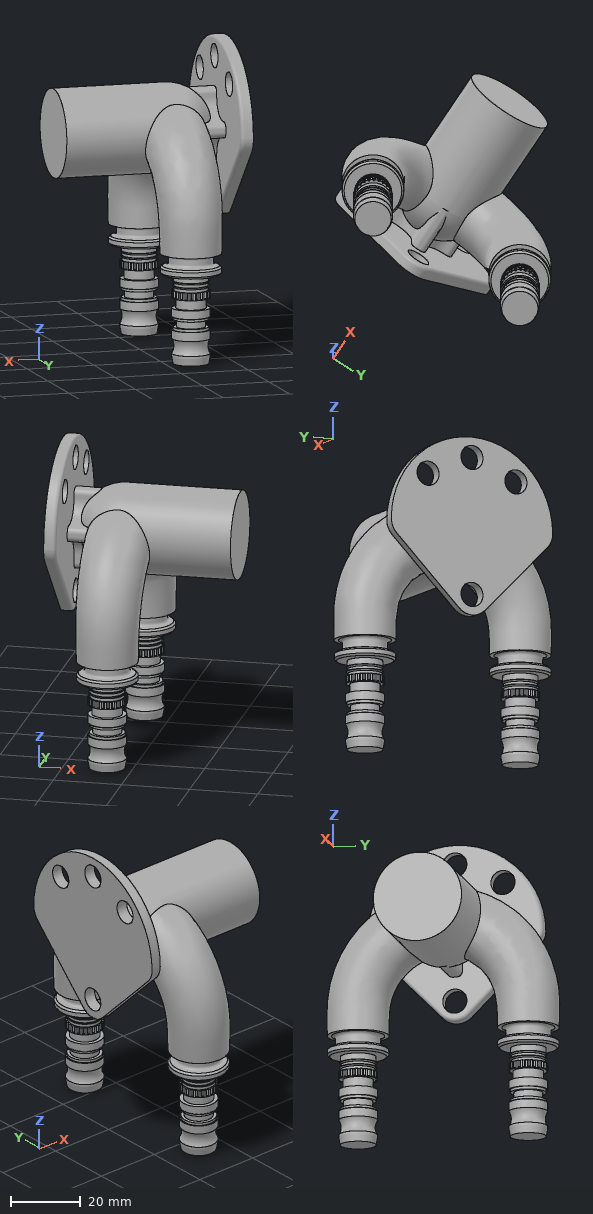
import cadquery as cq
import math

PLATE_THICKNESS = 3.7
PLATE_EDGE_ROUND = 1.1
PLATE_RADIUS = 26.0
HOLE_CIRCLE_RADIUS = 20.0
HOLE_DIAMETER = 7.0
HOLE_ANGLES = (45, 90, 135, 270)
CORNER_RADIUS = PLATE_RADIUS - HOLE_CIRCLE_RADIUS

TUBE_RADIUS = 13.0
TUBE_START_X = 18.0
TUBE_END_X = 52.0

RIB_HALF_WIDTH = 2.3
RIB_REACH = 11.2
BOTTOM_RIB_REACH = 13.0
RIB_TIP_ROUND = 1.8
RIB_VALLEY_RADIUS = 6.0

LEG_X = 18.5
LEG_OFFSET = 25.0
BEND_DROP = 26.0
LEG_RADIUS = 8.9
BEND_ROOT_RADIUS = 10.0
BEND_POINT_SPACING = 15
LEG_END_Z = -32.4
BOTTOM_Z = -64.41

NECK_RADIUS = 13.0 / 2
NECK_FILLET = 1.1
FLANGE_RADIUS = 17.7 / 2
FLANGE_CHAMFER = 0.6
SHANK_RADIUS = 10.2 / 2
RIDGE_RADIUS = 10.8 / 2
WAIST_RADIUS = 9.9 / 2
BARB_RADIUS = 11.2 / 2
STEP_RADIUS = 10.4 / 2
UPPER_GROOVE_RADIUS = 8.8 / 2
LOWER_GROOVE_RADIUS = 8.4 / 2

FLANGE_TOP = 3.5
FLANGE_BOTTOM = 6.05
RIDGE_DEPTHS = (7.9, 9.25)
RIDGE_FALL = 0.5
KNURL_TOP = 10.65
KNURL_BOTTOM = 12.85
KNURL_RIM = 0.25
UPPER_BARB_TOP = 15.8
UPPER_BARB_BOTTOM = 18.35
LOWER_BARB_TOP = 22.1
LOWER_BARB_BOTTOM = 24.7
STEP_HEIGHT = 0.8
NOSE_TOP = 29.05
NOSE_TAPER_TOP = 29.85
SPIGOT_LENGTH = LEG_END_Z - BOTTOM_Z

NOTCH_COUNT = 24
NOTCH_DEPTH = 0.45


def make_plate():
    tangent = CORNER_RADIUS * math.sqrt(0.5)
    side_middle_y = HOLE_CIRCLE_RADIUS + CORNER_RADIUS * math.cos(math.pi / 8)
    side_middle_z = -CORNER_RADIUS * math.sin(math.pi / 8)
    plate = (
        cq.Workplane("YZ")
        .moveTo(PLATE_RADIUS, 0)
        .threePointArc((0, PLATE_RADIUS), (-PLATE_RADIUS, 0))
        .threePointArc((-side_middle_y, side_middle_z),
                       (-HOLE_CIRCLE_RADIUS - tangent, -tangent))
        .lineTo(-tangent, -HOLE_CIRCLE_RADIUS - tangent)
        .threePointArc((0, -PLATE_RADIUS), (tangent, -HOLE_CIRCLE_RADIUS - tangent))
        .lineTo(HOLE_CIRCLE_RADIUS + tangent, -tangent)
        .threePointArc((side_middle_y, side_middle_z), (PLATE_RADIUS, 0))
        .close()
        .extrude(PLATE_THICKNESS)
        .faces(">X").edges().fillet(PLATE_EDGE_ROUND)
    )
    holes = cq.Workplane("YZ")
    for degrees in HOLE_ANGLES:
        angle = math.radians(degrees)
        holes = holes.moveTo(HOLE_CIRCLE_RADIUS * math.cos(angle), HOLE_CIRCLE_RADIUS * math.sin(angle))
        holes = holes.circle(HOLE_DIAMETER / 2)
    holes = holes.extrude(PLATE_THICKNESS)
    return plate.cut(holes)


def make_ribs():
    """Cross-shaped column with rounded rib tips and wide concave valleys between the ribs."""
    width = 2 * RIB_HALF_WIDTH
    upright_height = RIB_REACH + BOTTOM_RIB_REACH
    upright = (
        cq.Workplane("YZ").center(0, (RIB_REACH - BOTTOM_RIB_REACH) / 2)
        .rect(width, upright_height).extrude(TUBE_START_X)
        .edges("|X").fillet(RIB_TIP_ROUND)
    )
    crossbar = (
        cq.Workplane("YZ").rect(2 * RIB_REACH, width).extrude(TUBE_START_X)
        .edges("|X").fillet(RIB_TIP_ROUND)
    )
    valley_centre = RIB_HALF_WIDTH + RIB_VALLEY_RADIUS
    valley_centres = [(y * valley_centre, z * valley_centre) for y in (-1, 1) for z in (-1, 1)]
    core = cq.Workplane("YZ").rect(2 * valley_centre, 2 * valley_centre).extrude(TUBE_START_X)
    valleys = cq.Workplane("YZ").pushPoints(valley_centres).circle(RIB_VALLEY_RADIUS).extrude(TUBE_START_X)
    return upright.union(crossbar).union(core.cut(valleys))


def make_tube():
    """Round bar along X with a hemispherical end."""
    diagonal = TUBE_RADIUS * math.sqrt(0.5)
    return (
        cq.Workplane("XZ")
        .moveTo(TUBE_START_X - TUBE_RADIUS, 0)
        .threePointArc((TUBE_START_X - diagonal, diagonal), (TUBE_START_X, TUBE_RADIUS))
        .lineTo(TUBE_END_X, TUBE_RADIUS)
        .lineTo(TUBE_END_X, 0)
        .close()
        .revolve(360, (0, 0, 0), (1, 0, 0))
    )


def make_elbow(side):
    """Tapering leg and bend on one side of the tube; side is +1 for +Y and -1 for -Y."""
    angles = [math.radians(degrees) for degrees in range(0, 91, BEND_POINT_SPACING)]
    bend_points = [
        cq.Vector(LEG_X, side * LEG_OFFSET * math.cos(angle), BEND_DROP * (math.sin(angle) - 1))
        for angle in angles
    ]
    leg_end = cq.Vector(LEG_X, side * LEG_OFFSET, LEG_END_Z)
    leg_middle = (leg_end + bend_points[0]) * 0.5
    root = bend_points[-1]
    upward = cq.Vector(0, 0, 1)
    inward = cq.Vector(0, -side, 0)
    path = cq.Edge.makeSpline([leg_end, leg_middle, *bend_points], tangents=[upward, inward])
    sections = [
        cq.Workplane(cq.Plane(leg_end, (1, 0, 0), upward)).circle(LEG_RADIUS).wire().val(),
        cq.Workplane(cq.Plane(root, (1, 0, 0), inward)).circle(BEND_ROOT_RADIUS).wire().val(),
    ]
    return cq.Workplane(cq.Solid.sweep_multi(sections, path))


def make_housing():
    housing = make_tube().union(make_ribs()).union(make_plate())
    for side in (-1, 1):
        housing = housing.union(make_elbow(side))
    return housing


def make_spigot(side):
    """Barbed hose spigot, turned about the leg axis and hanging from the leg end."""
    fillet_middle = NECK_FILLET * (1 - math.sqrt(0.5))
    lower_fillet_top = FLANGE_TOP - NECK_FILLET
    profile = (
        cq.Workplane("XZ")
        .moveTo(0, 0)
        .lineTo(NECK_RADIUS + NECK_FILLET, 0)
        .threePointArc((NECK_RADIUS + fillet_middle, -fillet_middle), (NECK_RADIUS, -NECK_FILLET))
        .lineTo(NECK_RADIUS, -lower_fillet_top)
        .threePointArc((NECK_RADIUS + fillet_middle, fillet_middle - FLANGE_TOP),
                       (NECK_RADIUS + NECK_FILLET, -FLANGE_TOP))
        .lineTo(FLANGE_RADIUS - FLANGE_CHAMFER, -FLANGE_TOP)
        .lineTo(FLANGE_RADIUS, -FLANGE_TOP - FLANGE_CHAMFER)
        .lineTo(FLANGE_RADIUS, FLANGE_CHAMFER - FLANGE_BOTTOM)
        .lineTo(FLANGE_RADIUS - FLANGE_CHAMFER, -FLANGE_BOTTOM)
        .lineTo(SHANK_RADIUS, -FLANGE_BOTTOM)
    )
    root_radius = SHANK_RADIUS
    for depth in RIDGE_DEPTHS:
        profile = (
            profile
            .lineTo(root_radius, -depth)
            .lineTo(RIDGE_RADIUS, -depth)
            .lineTo(WAIST_RADIUS, -depth - RIDGE_FALL)
        )
        root_radius = WAIST_RADIUS
    profile = (
        profile
        .lineTo(WAIST_RADIUS, -KNURL_TOP)
        .lineTo(BARB_RADIUS, -KNURL_TOP)
        .lineTo(BARB_RADIUS, -KNURL_BOTTOM)
        .lineTo(UPPER_GROOVE_RADIUS, -KNURL_BOTTOM)
        .lineTo(UPPER_GROOVE_RADIUS, -UPPER_BARB_TOP)
        .lineTo(BARB_RADIUS, -UPPER_BARB_TOP)
        .lineTo(BARB_RADIUS, -UPPER_BARB_BOTTOM)
        .lineTo(STEP_RADIUS, -UPPER_BARB_BOTTOM)
        .lineTo(STEP_RADIUS, -UPPER_BARB_BOTTOM - STEP_HEIGHT)
        .lineTo(LOWER_GROOVE_RADIUS, -UPPER_BARB_BOTTOM - STEP_HEIGHT)
        .lineTo(LOWER_GROOVE_RADIUS, STEP_HEIGHT - LOWER_BARB_TOP)
        .lineTo(STEP_RADIUS, STEP_HEIGHT - LOWER_BARB_TOP)
        .lineTo(STEP_RADIUS, -LOWER_BARB_TOP)
        .lineTo(BARB_RADIUS, -LOWER_BARB_TOP)
        .lineTo(BARB_RADIUS, -LOWER_BARB_BOTTOM)
        .threePointArc((WAIST_RADIUS, -(LOWER_BARB_BOTTOM + NOSE_TOP) / 2), (BARB_RADIUS, -NOSE_TOP))
        .lineTo(BARB_RADIUS, -NOSE_TAPER_TOP)
        .lineTo(STEP_RADIUS, -SPIGOT_LENGTH)
        .lineTo(0, -SPIGOT_LENGTH)
        .close()
    )
    spigot = profile.revolve(360, (0, 0, 0), (0, 1, 0))

    notches = (
        cq.Workplane("XY", origin=(0, 0, KNURL_RIM - KNURL_BOTTOM))
        .polarArray(BARB_RADIUS, 0, 360, NOTCH_COUNT)
        .polygon(4, 2 * NOTCH_DEPTH)
        .extrude(KNURL_BOTTOM - KNURL_RIM - KNURL_TOP)
    )
    return spigot.cut(notches).translate((LEG_X, side * LEG_OFFSET, LEG_END_Z))


housing = make_housing()
spigots = [make_spigot(side) for side in (-1, 1)]

result = cq.Compound.makeCompound([housing.val(), *[spigot.val() for spigot in spigots]])